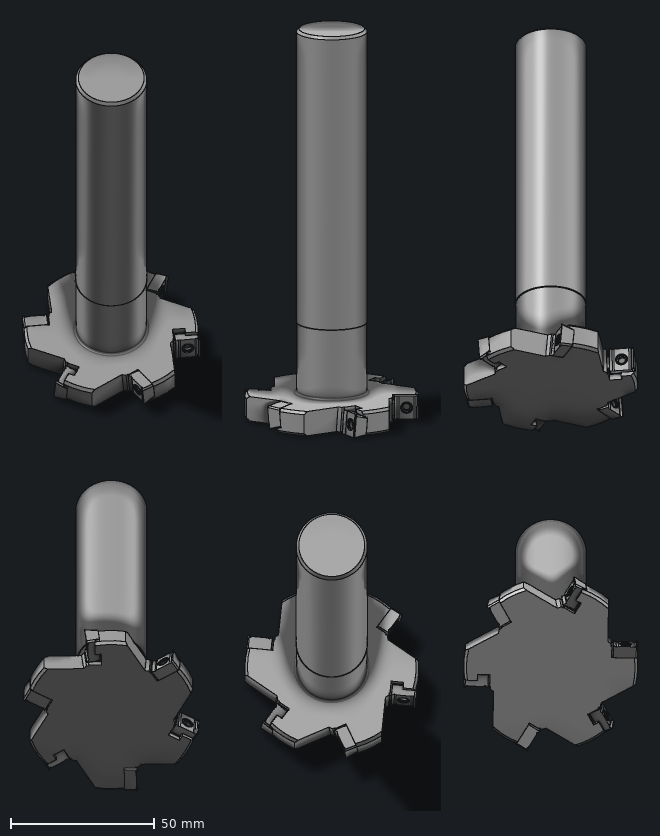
import cadquery as cq
import math

overall_length = 140.0
shank_diameter = 24.9
neck_diameter = 24.5
neck_top = 34.6
shank_top_chamfer = 1.0
neck_fillet = 0.8

cutting_width = 10.0
axial_overhang = 0.5
disc_bottom = axial_overhang
disc_top = cutting_width - axial_overhang
disc_radius = 30.4
rim_chamfer = 1.0
tooth_count = 6
tooth_pitch = 360.0 / tooth_count

rake_angle = 15.0
gullet_floor = 19.7
gullet_bevel_rise = 1.1
gullet_bevel_length = 1.0
gullet_step_length = 0.8
gullet_reach = 2 * disc_radius

tip_radius = 31.5
cutting_edge = -8.8
insert_thickness = 4.6
insert_height = 8.7
pocket_inner_end = 21.1
pocket_gap = 0.5
pocket_gap_depth = 2.8
insert_inner_end = pocket_inner_end + pocket_gap
insert_outer_end = math.sqrt(tip_radius**2 - cutting_edge**2)
insert_length = insert_outer_end - insert_inner_end
insert_corner_chamfer = 0.5
axial_rake = 5.0
clearance_angle = 11.0
lip_height = 0.4
groove_width = 1.7
groove_depth = 0.7
groove_lip_width = 1.0
insert_face_overhang = 0.1
tooth_face_setback = lip_height + insert_face_overhang
hole_diameter = 2.7
seat_diameter = 3.6
countersink_diameter = 4.2
countersink_depth = 0.3
seat_depth = 0.5
hole_depth = 1.7

recess_outer_back = -5.2
recess_inner_back = -3.1
recess_inner_length = 4.3
recess_depth = 2.2


def insert_blank():
    """Insert with its outer corners chamfered but without hole and chip grooves; cutting edge on local X."""
    end_drop = insert_thickness * math.tan(math.radians(clearance_angle))
    return (
        cq.Workplane("YZ")
        .polyline(
            [
                (0, 0),
                (0, -insert_height),
                (insert_thickness, end_drop - insert_height),
                (insert_thickness, -end_drop),
            ]
        )
        .close()
        .extrude(insert_length)
        .faces(">X")
        .edges("(not <Y) and (not >Y)")
        .chamfer(insert_corner_chamfer)
    )


def chip_breaker():
    """Everything in front of the flat insert face and its two end grooves, between the end lips."""
    return (
        cq.Workplane("XY")
        .polyline(
            [
                (0, 0),
                (groove_lip_width, groove_depth),
                (groove_width, lip_height),
                (insert_length - groove_width, lip_height),
                (insert_length - groove_lip_width, groove_depth),
                (insert_length - insert_corner_chamfer, 0),
            ]
        )
        .close()
        .extrude(-insert_height)
    )


def screw_hole():
    """Stepped blind screw hole with a conical mouth, sunk into the middle of the insert face."""
    profile = [
        (0, lip_height),
        (countersink_diameter / 2, lip_height),
        (seat_diameter / 2, lip_height + countersink_depth),
        (seat_diameter / 2, lip_height + seat_depth),
        (hole_diameter / 2, lip_height + seat_depth),
        (hole_diameter / 2, lip_height + hole_depth),
        (0, lip_height + hole_depth),
    ]
    hole = cq.Workplane("XY").polyline(profile).close().revolve(360, (0, 0, 0), (0, 1, 0))
    return hole.translate((insert_length / 2, 0, -insert_height / 2))


def insert_with_details():
    """Finished insert in its own frame."""
    return insert_blank().cut(chip_breaker()).cut(screw_hole())


def seated(shape):
    """Tilt a shape given in the insert frame by the axial rake and move it to its seat at the top of a tooth."""
    tilted = shape.rotate((0, 0, 0), (1, 0, 0), axial_rake)
    return tilted.translate((insert_inner_end, cutting_edge, cutting_width))


def pocket():
    """Seat of an insert, with a relief notch past its inner end near the disc face it overhangs."""
    blank = insert_blank()
    notch_zone = cq.Workplane("XY").box(2 * insert_length, 2 * insert_thickness, 2 * pocket_gap_depth)
    notch = blank.translate((-pocket_gap, 0, 0)).intersect(notch_zone)
    return blank.union(notch)


def recess():
    """Stepped clearance below a top insert, open to the gullet and to the lower disc face."""
    step_end = pocket_inner_end + recess_inner_length
    return (
        cq.Workplane("XY")
        .workplane(offset=disc_bottom)
        .polyline(
            [
                (pocket_inner_end, -disc_radius),
                (pocket_inner_end, recess_inner_back),
                (step_end, recess_inner_back),
                (step_end, recess_outer_back),
                (disc_radius, recess_outer_back),
                (disc_radius, -disc_radius),
            ]
        )
        .close()
        .extrude(recess_depth)
    )


def gullet():
    """Chip space in front of a tooth, its corner and tooth face leaning with the insert."""
    floor = gullet_floor - insert_inner_end
    step = floor + gullet_bevel_rise
    bevel_end = tooth_face_setback - gullet_step_length
    return (
        cq.Workplane("XY")
        .polyline(
            [
                (floor, -gullet_reach),
                (floor, bevel_end - gullet_bevel_length),
                (step, bevel_end),
                (step, tooth_face_setback),
                (gullet_reach, tooth_face_setback),
                (gullet_reach, -gullet_reach),
            ]
        )
        .close()
        .extrude(cutting_width, both=True)
    )


def at_tooth(shape, index):
    """Turn a shape to one tooth; every second tooth is mirrored to cut on the lower side."""
    if index % 2 == 1:
        shape = shape.mirror("XY", (0, 0, cutting_width / 2))
    return shape.rotate((0, 0, 0), (0, 0, 1), index * tooth_pitch + rake_angle)


def turned_blank():
    """Shank, neck and disc before the teeth are cut, revolved about the tool axis."""
    shank_radius = shank_diameter / 2
    neck_radius = neck_diameter / 2
    neck_step = shank_radius - neck_radius
    return (
        cq.Workplane("XZ")
        .moveTo(0, disc_bottom)
        .lineTo(disc_radius - rim_chamfer, disc_bottom)
        .lineTo(disc_radius, disc_bottom + rim_chamfer)
        .lineTo(disc_radius, disc_top - rim_chamfer)
        .lineTo(disc_radius - rim_chamfer, disc_top)
        .lineTo(neck_radius + neck_fillet, disc_top)
        .radiusArc((neck_radius, disc_top + neck_fillet), neck_fillet)
        .lineTo(neck_radius, neck_top)
        .lineTo(shank_radius, neck_top + neck_step)
        .lineTo(shank_radius, overall_length - shank_top_chamfer)
        .lineTo(shank_radius - shank_top_chamfer, overall_length)
        .lineTo(0, overall_length)
        .close()
        .revolve(360, (0, 0, 0), (0, 1, 0))
    )


def cutter_body():
    """Turned blank with a gullet, a clearance recess and an insert pocket at every tooth."""
    body = turned_blank()
    for index in range(tooth_count):
        for cutter in (seated(gullet()), recess(), seated(pocket())):
            body = body.cut(at_tooth(cutter, index))
    return body


body = cutter_body()
insert = seated(insert_with_details())
inserts = [at_tooth(insert, index) for index in range(tooth_count)]

result = cq.Compound.makeCompound([body.val(), *[one.val() for one in inserts]])